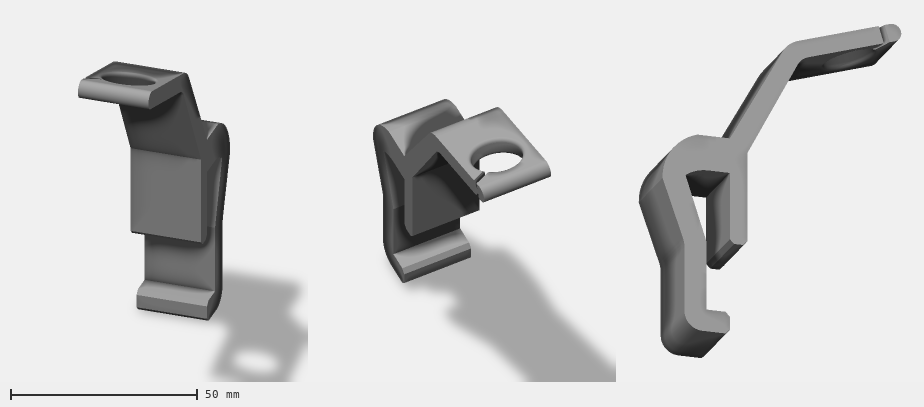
import cadquery as cq
import math

width = 20.0

leg_thickness = 6.2
leg_inner_y = 6.6
leg_outer_y = leg_inner_y + leg_thickness
leg_inner_bend_z = 25.6
leg_outer_bend_z = 24.6
leg_bend_radius = 7.5
hook_height = 6.2
hook_chamfer = 1.2
heel_radius = 5.0

shoulder_top_z = 55.9
shoulder_bottom_z = 46.0
outer_arc_start = (9.2, shoulder_top_z)
outer_arc_middle = (15.6, 51.8)
outer_arc_end = (19.0, 42.4)
inner_arc_start = (6.4, shoulder_bottom_z)
inner_arc_middle = (9.6, 45.5)
inner_arc_end = (12.5, 44.0)

tongue_thickness = 5.0
tongue_bottom_z = 25.9
tongue_chamfer = 1.2

arm_top_lean = 29.3
arm_under_lean = 27.8
arm_under_z = 52.35
bend_top_radius = 7.5
bend_under_radius = 5.0

tip_pitch = math.radians(17)
tip_thickness = 5.0
tip_radius = tip_thickness / 2
tip_reach = 48.5
tip_center_y = tip_radius - tip_reach
overall_height = 94.15
tip_center_z = overall_height - tip_radius

hole_diameter = 14.0
hole_rim_radius = 1.0
hole_to_tip_center = 10.1
slit_width = 1.5
slit_angle = 30
slit_side_offset = 7.6
slit_reach = 8.5

tip_along = (-math.cos(tip_pitch), math.sin(tip_pitch))
tip_normal = (math.sin(tip_pitch), math.cos(tip_pitch))


def tip_point(along, above):
    """YZ point measured from the center of the round end."""
    return (
        tip_center_y + along * tip_along[0] + above * tip_normal[0],
        tip_center_z + along * tip_along[1] + above * tip_normal[1],
    )


def arm_corner(start, lean, tip_face):
    """Point where an arm face rising from start meets a face of the tip plate."""
    lean_angle = math.radians(lean)
    direction = (-math.sin(lean_angle), math.cos(lean_angle))
    to_face = (tip_face[0] - start[0], tip_face[1] - start[1])
    gap = to_face[0] * tip_normal[0] + to_face[1] * tip_normal[1]
    approach = direction[0] * tip_normal[0] + direction[1] * tip_normal[1]
    length = gap / approach
    return (start[0] + length * direction[0], start[1] + length * direction[1])


tip_top = tip_point(0, tip_radius)
tip_under = tip_point(0, -tip_radius)
arm_top_start = (0, shoulder_top_z)
arm_under_start = (-tongue_thickness, arm_under_z)
bend_top = arm_corner(arm_top_start, arm_top_lean, tip_top)
bend_under = arm_corner(arm_under_start, arm_under_lean, tip_under)


def edges_at(body, points):
    """Edges running along X through the given YZ points."""
    edges = body.edges(cq.selectors.NearestToPointSelector((0, *points[0])))
    for point in points[1:]:
        edges = edges.add(body.edges(cq.selectors.NearestToPointSelector((0, *point))))
    return edges


def make_body():
    body = (
        cq.Workplane("YZ")
        .moveTo(0, 0)
        .lineTo(0, hook_height)
        .lineTo(leg_inner_y, hook_height)
        .lineTo(leg_inner_y, leg_inner_bend_z)
        .lineTo(*inner_arc_end)
        .threePointArc(inner_arc_middle, inner_arc_start)
        .lineTo(0, shoulder_bottom_z)
        .lineTo(0, tongue_bottom_z)
        .lineTo(-tongue_thickness, tongue_bottom_z)
        .lineTo(*arm_under_start)
        .lineTo(*bend_under)
        .lineTo(*tip_under)
        .threePointArc(tip_point(tip_radius, 0), tip_top)
        .lineTo(*bend_top)
        .lineTo(*arm_top_start)
        .lineTo(*outer_arc_start)
        .threePointArc(outer_arc_middle, outer_arc_end)
        .lineTo(leg_outer_y, leg_outer_bend_z)
        .lineTo(leg_outer_y, 0)
        .close()
        .extrude(width / 2, both=True)
    )
    rounded_corners = [
        ((leg_outer_y, 0), heel_radius),
        ((leg_outer_y, leg_outer_bend_z), leg_bend_radius),
        (bend_top, bend_top_radius),
        (bend_under, bend_under_radius),
    ]
    for corner, radius in rounded_corners:
        body = edges_at(body, [corner]).fillet(radius)
    body = edges_at(body, [(0, 0), (0, hook_height)]).chamfer(hook_chamfer)
    tongue_corners = [(0, tongue_bottom_z), (-tongue_thickness, tongue_bottom_z)]
    return edges_at(body, tongue_corners).chamfer(tongue_chamfer)


def tip_plane():
    """Mid-plane of the tip plate, centered on the hole axis."""
    y, z = tip_point(-hole_to_tip_center, 0)
    return cq.Plane(origin=(0, y, z), xDir=(1, 0, 0), normal=(0, *tip_normal))


def make_hole():
    """Hole cutter whose two mouths flare out as rounded rims."""
    bore = hole_diameter / 2
    mouth = bore + hole_rim_radius
    straight = tip_radius - hole_rim_radius
    bulge = hole_rim_radius * (1 - math.sqrt(0.5))
    return (
        cq.Workplane(tip_plane())
        .transformed(rotate=(90, 0, 0))
        .moveTo(0, -tip_radius)
        .lineTo(mouth, -tip_radius)
        .threePointArc((bore + bulge, -tip_radius + bulge), (bore, -straight))
        .lineTo(bore, straight)
        .threePointArc((bore + bulge, tip_radius - bulge), (mouth, tip_radius))
        .lineTo(0, tip_radius)
        .close()
        .revolve(360, (0, 0, 0), (0, 1, 0))
    )


def make_slit():
    """Angled cutter joining the hole to the -X side, through the plate thickness."""
    return (
        cq.Workplane(tip_plane())
        .center(-width / 2, -slit_side_offset)
        .transformed(rotate=(0, 0, slit_angle))
        .rect(2 * slit_reach, slit_width)
        .extrude(tip_thickness, both=True)
    )


result = make_body().cut(make_hole()).cut(make_slit())